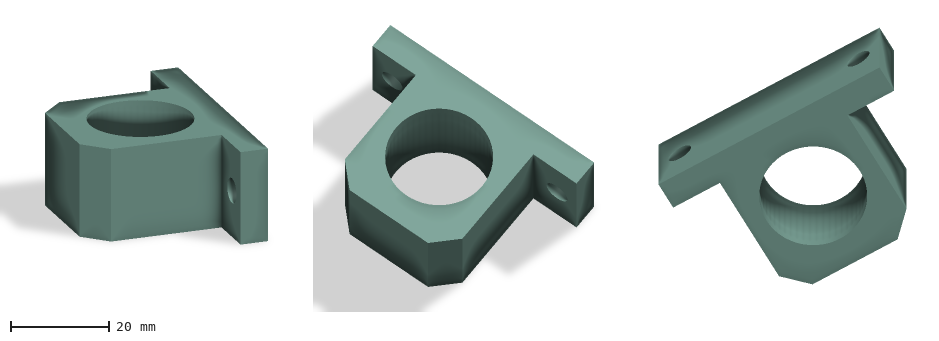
import cadquery as cq

length = 52.0
depth = 35.0
height = 20.0

flange_thickness = 6.0
screw_hole_diameter = 5.3
screw_hole_spacing = 42.0

block_width = 30.0
corner_chamfer = 5.0
bore_diameter = 22.0
bore_to_back = 18.0

back_y = bore_to_back


def make_flange():
    return (
        cq.Workplane("XY")
        .box(length, flange_thickness, height)
        .translate((0, back_y - flange_thickness / 2, 0))
    )


def make_block():
    return (
        cq.Workplane("XY")
        .box(block_width, depth, height)
        .translate((0, back_y - depth / 2, 0))
        .edges("|Z and <Y")
        .chamfer(corner_chamfer)
    )


def make_bore():
    return (
        cq.Workplane("XY", origin=(0, 0, -height / 2))
        .circle(bore_diameter / 2)
        .extrude(height)
    )


def make_screw_holes():
    half_spacing = screw_hole_spacing / 2
    return (
        cq.Workplane("XZ", origin=(0, back_y, 0))
        .pushPoints([(-half_spacing, 0), (half_spacing, 0)])
        .circle(screw_hole_diameter / 2)
        .extrude(flange_thickness)
    )


result = make_flange().union(make_block()).cut(make_bore()).cut(make_screw_holes())